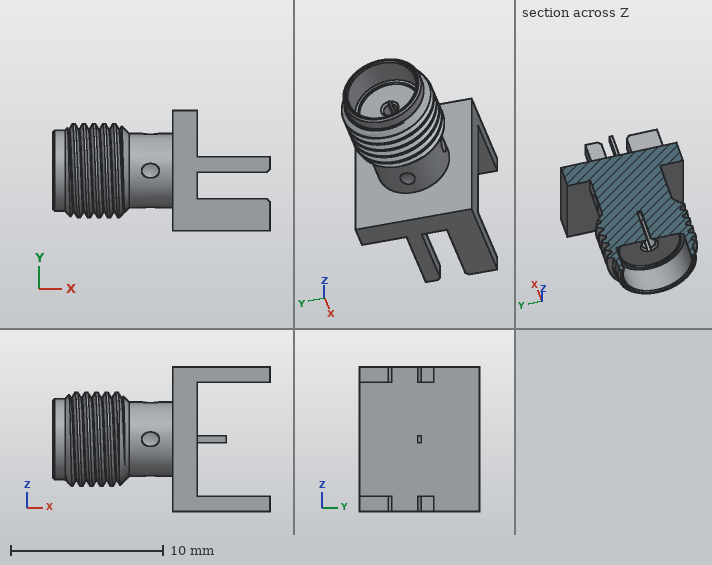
import cadquery as cq
import math


nose_radius = 2.665
nose_length = 0.80
nose_chamfer = 0.13
neck_radius = 2.45
neck_start = 5.00

crest_radius = 3.09
root_radius = 2.73
pitch = 0.664
crest_flat = 0.165
flank_angle = 30.0
crest_at_top = 1.538

plate_front = 7.87
plate_thickness = 1.63
plate_width = 7.92
plate_height = 9.52
overall_length = 14.27
leg_thickness = 1.02
narrow_leg_top = 0.93
slot_top = -0.11
slot_bottom = -1.83
leg_chamfer = 0.22

pin_end = 11.40
pin_width = 0.48
pin_thickness = 2 * abs(slot_top)

mouth_radius = 2.34
mouth_chamfer = 0.09
shoulder_depth = 1.93
insulator_radius = 2.055
shoulder_inner_radius = 2.14

contact_radius = 0.635
socket_radius = 0.465
socket_mouth_radius = 0.61
socket_depth = 2.5
socket_slot_width = 0.25
drill_half_angle = 60.0

dimple_station = 6.41
dimple_half_length = 0.58
dimple_depth = 0.14
dimple_count = 4

plate_back = plate_front + plate_thickness
insulator_face = shoulder_depth + shoulder_inner_radius - insulator_radius
drill_slope = math.tan(math.radians(drill_half_angle))


def revolve_about_x(points):
    """Revolve a closed (station, radius) outline about the X axis."""
    return cq.Workplane("XY").polyline(points).close().revolve(360, (0, 0, 0), (1, 0, 0))


def box(x_range, y_range, z_range):
    """Axis-aligned block between the given limits."""
    sizes = [high - low for low, high in (x_range, y_range, z_range)]
    corner = (x_range[0], y_range[0], z_range[0])
    return cq.Workplane("XY").box(*sizes, centered=False).translate(corner)


def make_barrel():
    """Nose, thread blank with 45 degree run-outs, and neck."""
    front_cone = crest_radius - nose_radius
    rear_cone = crest_radius - neck_radius
    return revolve_about_x([
        (0, 0),
        (0, nose_radius - nose_chamfer),
        (nose_chamfer, nose_radius),
        (nose_length, nose_radius),
        (nose_length + front_cone, crest_radius),
        (neck_start - rear_cone, crest_radius),
        (neck_start, neck_radius),
        (plate_front, neck_radius),
        (plate_front, 0),
    ])


def make_thread_groove():
    """Right-hand helical groove that runs out past both thread cones."""
    clearance = 0.15
    start = crest_at_top - 1.5 * pitch
    turns = math.ceil((neck_start - start) / pitch)
    half_mouth = (pitch - crest_flat) / 2
    half_root = half_mouth - (crest_radius - root_radius) * math.tan(math.radians(flank_angle))
    helix = cq.Wire.makeHelix(pitch, turns * pitch, root_radius)
    groove = (
        cq.Workplane("XZ")
        .polyline([
            (root_radius, -half_root),
            (root_radius, half_root),
            (crest_radius, half_mouth),
            (crest_radius + clearance, half_mouth),
            (crest_radius + clearance, -half_mouth),
            (crest_radius, -half_mouth),
        ])
        .close()
        .sweep(cq.Workplane(obj=helix), isFrenet=True)
    )
    groove = groove.rotate((0, 0, 0), (0, 1, 0), 90)
    return groove.translate((start - pitch / 2, 0, 0))


def make_cavity():
    """Open mouth down to the chamfered shoulder and the insulator face."""
    return revolve_about_x([
        (0, 0),
        (0, mouth_radius + mouth_chamfer),
        (mouth_chamfer, mouth_radius),
        (shoulder_depth, mouth_radius),
        (shoulder_depth, shoulder_inner_radius),
        (insulator_face, insulator_radius),
        (insulator_face, 0),
    ])


def make_socket():
    """Countersunk contact bore with a drill point and two slots through the contact wall."""
    countersink_end = insulator_face + socket_mouth_radius - socket_radius
    bore_end = insulator_face + socket_depth
    bore = revolve_about_x([
        (insulator_face, 0),
        (insulator_face, socket_mouth_radius),
        (countersink_end, socket_radius),
        (bore_end, socket_radius),
        (bore_end + socket_radius / drill_slope, 0),
    ])
    slot = box(
        (insulator_face, bore_end),
        (-socket_slot_width / 2, socket_slot_width / 2),
        (-contact_radius, contact_radius),
    )
    contact = cq.Workplane("YZ", origin=(insulator_face, 0, 0)).circle(contact_radius).extrude(socket_depth)
    return bore.union(slot.intersect(contact))


def make_dimple(angle):
    """Ball that leaves a shallow spherical hollow in the neck."""
    ball_radius = (dimple_half_length**2 + dimple_depth**2) / (2 * dimple_depth)
    centre_height = neck_radius - dimple_depth + ball_radius
    ball = cq.Workplane("YZ").sphere(ball_radius).translate((dimple_station, 0, centre_height))
    return ball.rotate((0, 0, 0), (1, 0, 0), angle)


def make_mount():
    """Plate with a forked pair of legs along its top and bottom edges."""
    half_width = plate_width / 2
    half_height = plate_height / 2
    profile = (
        cq.Workplane("XY", origin=(0, 0, -half_height))
        .polyline([
            (plate_front, -half_width),
            (overall_length, -half_width),
            (overall_length, slot_bottom - leg_chamfer),
            (overall_length - leg_chamfer, slot_bottom),
            (plate_back, slot_bottom),
            (plate_back, slot_top),
            (overall_length - leg_chamfer, slot_top),
            (overall_length, slot_top + leg_chamfer),
            (overall_length, narrow_leg_top),
            (plate_back, narrow_leg_top),
            (plate_back, half_width),
            (plate_front, half_width),
        ])
        .close()
        .extrude(plate_height)
    )
    inner_half_height = half_height - leg_thickness
    gap = box(
        (plate_back, overall_length),
        (-half_width, half_width),
        (-inner_half_height, inner_half_height),
    )
    return profile.cut(gap)


def make_pin():
    """Flat solder pin on the connector axis, its underside level with that of the narrow legs."""
    return box(
        (plate_back, pin_end),
        (-pin_thickness / 2, pin_thickness / 2),
        (-pin_width / 2, pin_width / 2),
    )


barrel = make_barrel().cut(make_thread_groove())
for index in range(dimple_count):
    barrel = barrel.cut(make_dimple(index * 360 / dimple_count))

result = barrel.cut(make_cavity()).cut(make_socket()).union(make_mount()).union(make_pin())